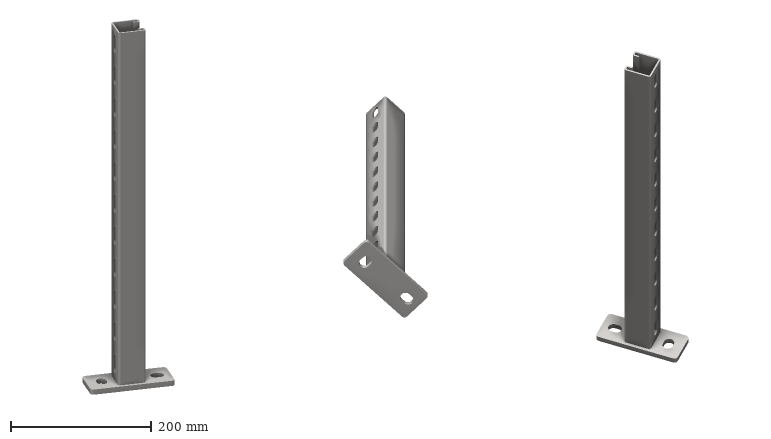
import cadquery as cq

PLATE_WIDTH = 50.0
PLATE_LENGTH = 125.0
PLATE_THICKNESS = 8.0
PLATE_CORNER_RADIUS = 5.0

ANCHOR_SLOT_LENGTH = 20.0
ANCHOR_SLOT_WIDTH = 15.0
REAR_ANCHOR_Y = 42.5
FRONT_ANCHOR_Y = -40.0

TOTAL_HEIGHT = 558.0
CHANNEL_SIZE = 41.0
WALL = 2.5
BEND_INNER_RADIUS = 1.0
BEND_OUTER_RADIUS = BEND_INNER_RADIUS + WALL
MOUTH_WIDTH = 22.0
LIP_DEPTH = 10.0
CHANNEL_HEIGHT = TOTAL_HEIGHT - PLATE_THICKNESS

BACK_SLOT_COUNT = 11
BACK_SLOT_PITCH = CHANNEL_HEIGHT / BACK_SLOT_COUNT
BACK_SLOT_LENGTH = 27.0
BACK_SLOT_WIDTH = 10.5


def make_plate():
    """Rounded base plate standing on Z = 0, with its two anchor slots."""
    plate = (
        cq.Workplane("XY")
        .rect(PLATE_WIDTH, PLATE_LENGTH)
        .extrude(PLATE_THICKNESS)
        .edges("|Z")
        .fillet(PLATE_CORNER_RADIUS)
    )
    for y_center, angle in ((REAR_ANCHOR_Y, 90), (FRONT_ANCHOR_Y, 0)):
        slot = (
            cq.Workplane("XY")
            .center(0, y_center)
            .slot2D(ANCHOR_SLOT_LENGTH, ANCHOR_SLOT_WIDTH, angle)
            .extrude(PLATE_THICKNESS)
        )
        plate = plate.cut(slot)
    return plate


def side_outline():
    """Closed section of the right half of the channel, from the back centre to the lip tip."""
    half = CHANNEL_SIZE / 2
    inside = half - WALL
    lip_inner_x = MOUTH_WIDTH / 2
    lip_outer_x = lip_inner_x + WALL
    lip_end_y = half - LIP_DEPTH
    outer_bend = half - BEND_OUTER_RADIUS
    lip_bend_x = lip_inner_x + BEND_OUTER_RADIUS
    return (
        cq.Workplane("XY", origin=(0, 0, PLATE_THICKNESS))
        .moveTo(0, -half)
        .lineTo(outer_bend, -half)
        .radiusArc((half, -outer_bend), -BEND_OUTER_RADIUS)
        .lineTo(half, outer_bend)
        .radiusArc((outer_bend, half), -BEND_OUTER_RADIUS)
        .lineTo(lip_bend_x, half)
        .radiusArc((lip_inner_x, outer_bend), -BEND_OUTER_RADIUS)
        .lineTo(lip_inner_x, lip_end_y)
        .lineTo(lip_outer_x, lip_end_y)
        .lineTo(lip_outer_x, outer_bend)
        .radiusArc((lip_bend_x, inside), BEND_INNER_RADIUS)
        .lineTo(outer_bend, inside)
        .radiusArc((inside, outer_bend), BEND_INNER_RADIUS)
        .lineTo(inside, -outer_bend)
        .radiusArc((outer_bend, -inside), BEND_INNER_RADIUS)
        .lineTo(0, -inside)
        .close()
    )


def make_channel():
    """Bent sheet channel: back at -Y, side walls, and lips folded inwards along the mouth at +Y."""
    right_half = side_outline().extrude(CHANNEL_HEIGHT)
    return right_half.union(right_half.mirror("YZ")).clean()


def make_back_slots():
    """Cutters for the vertical slots, evenly spaced up the channel back."""
    first_z = PLATE_THICKNESS + BACK_SLOT_PITCH / 2
    centers = [(0, first_z + i * BACK_SLOT_PITCH) for i in range(BACK_SLOT_COUNT)]
    return (
        cq.Workplane("XZ", origin=(0, -CHANNEL_SIZE / 2, 0))
        .pushPoints(centers)
        .slot2D(BACK_SLOT_LENGTH, BACK_SLOT_WIDTH, 90)
        .extrude(-WALL)
    )


result = make_plate().union(make_channel()).cut(make_back_slots())